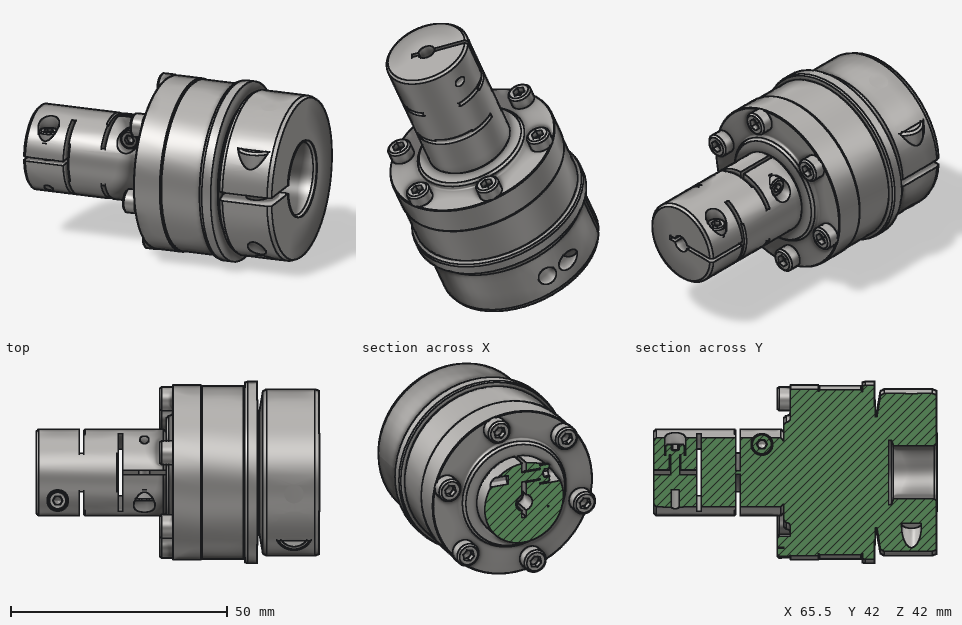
import cadquery as cq
import math

HUB_END = 10.0
SLIT_WIDTH = 1.0
MIDDLE_START = HUB_END + SLIT_WIDTH
MIDDLE_END = 19.0
SECOND_HUB_START = MIDDLE_END + SLIT_WIDTH
COLLAR_FACE = 30.0
FLANGE_FACE = 31.5
FLANGE_END = 38.0
RIM_START = 48.2
RIM_END = 51.0
NECK_STEP = 51.2
CLAMP_START = 51.5
CLAMP_END = 65.3
PART_LENGTH = 65.5

HUB_RADIUS = 10.0
COLLAR_RADIUS = 13.1
COLLAR_FILLET = 0.75
COLLAR_CHAMFER = 0.6
FLANGE_RADIUS = 20.2
FLANGE_CHAMFER = 0.2
BODY_RADIUS = 20.0
BODY_CHAMFER = 0.4
RIM_RADIUS = 21.0
RIM_CHAMFER_LENGTH = 0.6
RIM_CHAMFER_DEPTH = 0.2
NECK_OUTER_RADIUS = 16.7
NECK_INNER_RADIUS = 14.2
CLAMP_RADIUS = 19.25
CLAMP_CONE_LENGTH = 0.8
CLAMP_CORNER_RADIAL = 0.5
CLAMP_CORNER_AXIAL = 0.9
CLAMP_END_CHAMFER_AXIAL = 1.0
CLAMP_END_CHAMFER_RADIAL = 0.4
END_LIP_RADIUS = 9.0

HUB_END_CHAMFER = 0.6
MIDDLE_CHAMFER = 0.4
HUB_BORE = 4.0
CLAMP_SLIT = 1.0
CLAMP_SLIT_OVERRUN = 3.6
BRIDGE_HALF_WIDTH = 4.47
SCALLOP_OFFSET = 8.0

HUB_SCREW_FROM_END = 5.0
HUB_SCREW_OFFSET = 6.47
HUB_SCREW_HEAD_TOP = 6.47
HUB_SCREW = dict(
    shank=2.5, head=4.5, head_height=2.5, chamfer=0.35, hexagon=2.0, hex_depth=1.2,
    counterbore=4.9, clearance=2.75, tap=2.05, length=8.0,
)

CLAMP_BORE = 17.0
CLAMP_BORE_BOTTOM = 54.3
RELIEF_WIDTH = 0.5
RELIEF_RAMP = 0.5
RELIEF_RADIUS = 9.5
BORE_CHAMFER_LENGTH = 0.8
BORE_CHAMFER_DEPTH = 0.4
CLAMP_SLOT = 2.0
CLAMP_SCREW_X = 59.5
CLAMP_SCREW_OFFSET = 13.45
CLAMP_SCREW_HEAD_TOP = 11.0
CLAMP_SCREW = dict(
    shank=5.0, head=8.5, head_height=5.0, chamfer=0.6, hexagon=0.0, hex_depth=0.0,
    counterbore=9.0, clearance=5.5, tap=4.2, length=16.0,
)
RADIAL_HOLE = 4.5
RADIAL_HOLE_DEPTH = 6.0
OPEN_HOLE_ANGLE = -64.0
PLUGGED_HOLE_ANGLE = 75.0

FLANGE_SCREWS = 6
FLANGE_BOLT_RADIUS = 17.6
FLANGE_FIRST_ANGLE = 15.0
FLANGE_HEAD = 5.5
FLANGE_HEAD_HEIGHT = 3.0
FLANGE_HEAD_CHAMFER = 0.45
FLANGE_HEX = 2.5
FLANGE_HEX_DEPTH = 1.5

HEX_TIP_ANGLE = 60.0
REACH = 2 * RIM_RADIUS


def x_cylinder(x_start, x_end, radius, y=0.0, z=0.0):
    """Cylinder parallel to the coupling axis."""
    start = cq.Vector(x_start, y, z)
    return cq.Workplane(cq.Solid.makeCylinder(radius, x_end - x_start, start, cq.Vector(1, 0, 0)))


def z_cylinder(z_start, z_end, radius):
    """Cylinder on the local Z axis."""
    return cq.Workplane("XY", origin=(0, 0, z_start)).circle(radius).extrude(z_end - z_start)


def block(x_range, y_range, z_range):
    """Axis-aligned box between the given limits."""
    ranges = (x_range, y_range, z_range)
    sizes = [high - low for low, high in ranges]
    return cq.Workplane("XY").box(*sizes, centered=False).translate([low for low, high in ranges])


def socket_head(head, height, chamfer, hexagon, hex_depth):
    """Screw head standing on z = 0, with an optional hexagon socket that ends in a drill tip."""
    body = z_cylinder(0, height, head / 2).faces(">Z").chamfer(chamfer)
    if hexagon:
        corner_circle = hexagon / math.cos(math.pi / 6)
        socket_floor = cq.Workplane("XY", origin=(0, 0, height - hex_depth))
        body = body.cut(socket_floor.polygon(6, corner_circle).extrude(hex_depth))
        tip_depth = hexagon / 2 / math.tan(math.radians(HEX_TIP_ANGLE))
        tip = cq.Solid.makeCone(
            hexagon / 2, 0, tip_depth, cq.Vector(0, 0, height - hex_depth), cq.Vector(0, 0, -1)
        )
        body = body.cut(cq.Workplane(tip))
    return body


def screw_cutter(screw, split_depth):
    """Counterbore, clearance hole down to the split and tapped hole, with the head seat at z = 0."""
    counterbore = z_cylinder(0, REACH, screw["counterbore"] / 2)
    clearance = z_cylinder(-split_depth, 0, screw["clearance"] / 2)
    tap = z_cylinder(-REACH, -screw["length"], screw["tap"] / 2)
    return counterbore.union(clearance).union(tap)


def screw_body(screw):
    """Screw with the underside of its head at z = 0."""
    head = socket_head(
        screw["head"], screw["head_height"], screw["chamfer"], screw["hexagon"], screw["hex_depth"]
    )
    return head.union(z_cylinder(-screw["length"], 0, screw["shank"] / 2))


def fit_screw(part, screw, x, offset, head_top):
    """Fit a clamping screw parallel to Z, on the -Y side of the axis."""
    seat_height = head_top - screw["head_height"]
    seat = (x, -offset, seat_height)
    part = part.cut(screw_cutter(screw, seat_height).translate(seat))
    return part.union(screw_body(screw).translate(seat))


def make_drive_body():
    """Collar, flange, body, rim, neck and large clamp as one revolved profile."""
    collar_inner = COLLAR_RADIUS - COLLAR_CHAMFER
    fillet_x = FLANGE_FACE - COLLAR_FILLET
    fillet_mid = COLLAR_FILLET * (1 - math.sqrt(0.5))
    fillet_top = COLLAR_RADIUS + COLLAR_FILLET
    corner_radius = CLAMP_RADIUS - CLAMP_CORNER_RADIAL
    corner_x = CLAMP_START + CLAMP_CONE_LENGTH
    profile = (
        cq.Workplane("XY")
        .moveTo(COLLAR_FACE, 0)
        .lineTo(COLLAR_FACE, collar_inner)
        .lineTo(COLLAR_FACE + COLLAR_CHAMFER, COLLAR_RADIUS)
        .lineTo(fillet_x, COLLAR_RADIUS)
        .threePointArc((FLANGE_FACE - fillet_mid, COLLAR_RADIUS + fillet_mid), (FLANGE_FACE, fillet_top))
        .lineTo(FLANGE_FACE, FLANGE_RADIUS - FLANGE_CHAMFER)
        .lineTo(FLANGE_FACE + FLANGE_CHAMFER, FLANGE_RADIUS)
        .lineTo(FLANGE_END, FLANGE_RADIUS)
        .lineTo(FLANGE_END, BODY_RADIUS - BODY_CHAMFER)
        .lineTo(FLANGE_END + BODY_CHAMFER, BODY_RADIUS)
        .lineTo(RIM_START - BODY_CHAMFER, BODY_RADIUS)
        .lineTo(RIM_START, BODY_RADIUS - BODY_CHAMFER)
        .lineTo(RIM_START, RIM_RADIUS - RIM_CHAMFER_DEPTH)
        .lineTo(RIM_START + RIM_CHAMFER_LENGTH, RIM_RADIUS)
        .lineTo(RIM_END, RIM_RADIUS)
        .lineTo(RIM_END, NECK_OUTER_RADIUS)
        .lineTo(NECK_STEP, NECK_OUTER_RADIUS)
        .lineTo(NECK_STEP, NECK_INNER_RADIUS)
        .lineTo(CLAMP_START, NECK_INNER_RADIUS)
        .lineTo(corner_x, corner_radius)
        .lineTo(corner_x + CLAMP_CORNER_AXIAL, CLAMP_RADIUS)
        .lineTo(CLAMP_END - CLAMP_END_CHAMFER_AXIAL, CLAMP_RADIUS)
        .lineTo(CLAMP_END, CLAMP_RADIUS - CLAMP_END_CHAMFER_RADIAL)
        .lineTo(CLAMP_END, END_LIP_RADIUS)
        .lineTo(PART_LENGTH, END_LIP_RADIUS)
        .lineTo(PART_LENGTH, 0)
        .close()
    )
    return profile.revolve(360, (0, 0, 0), (1, 0, 0))


def chamfer_arc(x_edge, direction):
    """Edge chamfer of the middle disc, limited to the two arcs beside the +Y and -Y slit openings."""
    inner = HUB_RADIUS - MIDDLE_CHAMFER
    ring = (
        cq.Workplane("XY")
        .polyline([
            (x_edge, inner),
            (x_edge, HUB_RADIUS),
            (x_edge + direction * MIDDLE_CHAMFER, HUB_RADIUS),
        ])
        .close()
        .revolve(360, (0, 0, 0), (1, 0, 0))
    )
    half = BRIDGE_HALF_WIDTH
    return ring.intersect(block((0, COLLAR_FACE), (-REACH, REACH), (-half, half)))


def flexure_slit(x_start):
    """Slit open towards +Y and -Y; two round cuts leave tapered webs at +Z and -Z."""
    web_edge = math.sqrt(HUB_RADIUS**2 - BRIDGE_HALF_WIDTH**2)
    scallop_radius = math.hypot(SCALLOP_OFFSET - BRIDGE_HALF_WIDTH, web_edge)
    slit = x_cylinder(x_start, x_start + SLIT_WIDTH, scallop_radius, y=-SCALLOP_OFFSET)
    return slit.union(x_cylinder(x_start, x_start + SLIT_WIDTH, scallop_radius, y=SCALLOP_OFFSET))


def clamp_hub(part, x_start, x_end, screw_x):
    """Bore and slit one clamping hub, slit towards -Y, and fit its screw."""
    part = part.cut(x_cylinder(x_start, x_end, HUB_BORE / 2))
    half = CLAMP_SLIT / 2
    part = part.cut(block((x_start, x_end), (-REACH, CLAMP_SLIT_OVERRUN), (-half, half)))
    return fit_screw(part, HUB_SCREW, screw_x, HUB_SCREW_OFFSET, HUB_SCREW_HEAD_TOP)


def quarter_turn(part, direction):
    """Turn about the coupling axis; direction +1 carries -Z to +Y and +Z to -Y."""
    return part.rotate((0, 0, 0), (1, 0, 0), direction * 90)


def mirror_swap(part):
    """Mirror in the plane through the axis that exchanges the -Y and +Z directions."""
    return quarter_turn(part.mirror("XY"), -1)


def make_flexible_hub():
    """Two clamping hubs joined to a middle disc by crossed flexure slits."""
    hub = x_cylinder(0, COLLAR_FACE, HUB_RADIUS).faces("<X or >X").chamfer(HUB_END_CHAMFER)
    hub = hub.cut(flexure_slit(HUB_END))
    hub = hub.cut(chamfer_arc(MIDDLE_START, 1))
    hub = hub.cut(quarter_turn(flexure_slit(MIDDLE_END), 1))
    hub = hub.cut(quarter_turn(chamfer_arc(MIDDLE_END, -1), 1))
    hub = clamp_hub(hub, 0, HUB_END, HUB_SCREW_FROM_END)
    hub = mirror_swap(hub)
    hub = clamp_hub(hub, SECOND_HUB_START, COLLAR_FACE, COLLAR_FACE - HUB_SCREW_FROM_END)
    return mirror_swap(hub)


def flange_screw_heads():
    """Socket heads in a ring on the flange face, as a list."""
    head = socket_head(FLANGE_HEAD, FLANGE_HEAD_HEIGHT, FLANGE_HEAD_CHAMFER, FLANGE_HEX, FLANGE_HEX_DEPTH)
    head = head.rotate((0, 0, 0), (0, 1, 0), -90).translate((FLANGE_FACE, 0, FLANGE_BOLT_RADIUS))
    heads = []
    for index in range(FLANGE_SCREWS):
        angle = FLANGE_FIRST_ANGLE + index * 360 / FLANGE_SCREWS
        heads.append(head.rotate((0, 0, 0), (1, 0, 0), -angle))
    return heads


def radial_hole(angle):
    """Radial hole in the rim of the large clamp, at an angle from -Y towards +Z."""
    bottom = CLAMP_RADIUS - RADIAL_HOLE_DEPTH
    hole = z_cylinder(bottom, REACH, RADIAL_HOLE / 2).translate((CLAMP_SCREW_X, 0, 0))
    return hole.rotate((0, 0, 0), (1, 0, 0), 90 - angle)


def clamp_bore():
    """Bore of the large clamp with a relief groove at its bottom and a chamfer at its mouth."""
    bore_radius = CLAMP_BORE / 2
    relief_end = CLAMP_BORE_BOTTOM + RELIEF_WIDTH
    profile = cq.Workplane("XY").polyline([
        (CLAMP_BORE_BOTTOM, 0),
        (CLAMP_BORE_BOTTOM, RELIEF_RADIUS),
        (relief_end, RELIEF_RADIUS),
        (relief_end + RELIEF_RAMP, bore_radius),
        (PART_LENGTH - BORE_CHAMFER_LENGTH, bore_radius),
        (PART_LENGTH, bore_radius + BORE_CHAMFER_DEPTH),
        (PART_LENGTH, 0),
    ])
    return quarter_turn(profile.close().revolve(360, (0, 0, 0), (1, 0, 0)), 1)


def finish_large_clamp(part):
    """Bore, slot, clamping screw and radial holes of the large clamp."""
    blank = x_cylinder(CLAMP_BORE_BOTTOM, CLAMP_END, CLAMP_RADIUS)
    part = part.cut(clamp_bore())
    half = CLAMP_SLOT / 2
    slot_bottom = half - CLAMP_BORE / 2
    part = part.cut(block((CLAMP_START, PART_LENGTH), (-REACH, slot_bottom), (-half, half)))
    part = fit_screw(part, CLAMP_SCREW, CLAMP_SCREW_X, CLAMP_SCREW_OFFSET, CLAMP_SCREW_HEAD_TOP)
    head_plug = z_cylinder(CLAMP_SCREW_HEAD_TOP, REACH, CLAMP_SCREW["counterbore"] / 2)
    head_plug = head_plug.translate((CLAMP_SCREW_X, -CLAMP_SCREW_OFFSET, 0)).intersect(blank)
    radial_plug = radial_hole(PLUGGED_HOLE_ANGLE).intersect(blank)
    part = part.cut(radial_hole(OPEN_HOLE_ANGLE))
    part = part.cut(radial_hole(PLUGGED_HOLE_ANGLE))
    part = part.union(head_plug, clean=False)
    return part.union(radial_plug, clean=False)


drive = make_drive_body()
for screw_head in flange_screw_heads():
    drive = drive.union(screw_head)
result = finish_large_clamp(drive.union(make_flexible_hub()))